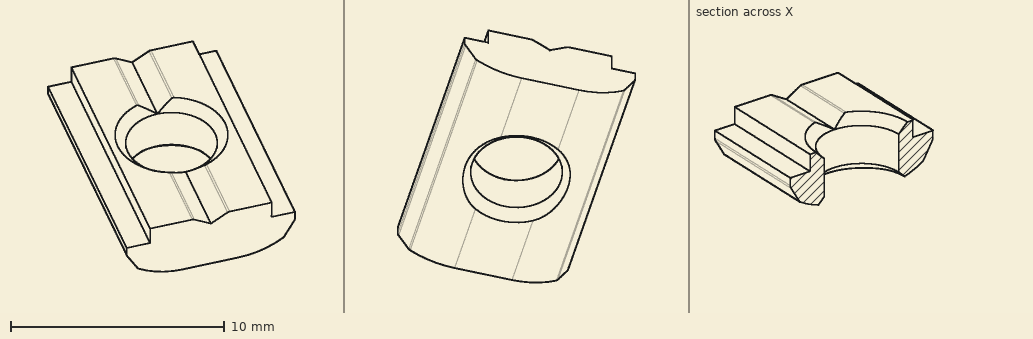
import cadquery as cq
import math

length = 12.0
width = 8.3
height = 3.0

rail_width = 6.0
shelf_z = 2.1

flank_corner_z = 1.62
flank_slope = math.radians(60)
flank_bottom_z = 0.66
underside_radius = 4.0
flank_corner_radius = 0.3
flank_bottom_edge_radius = 0.2

groove_depth = 0.5
groove_angle = math.radians(120)
groove_edge_radius = 0.2

hole_diameter = 4.3
countersink_depth = 0.5

half_width = width / 2
half_rail = rail_width / 2
groove_half_width = groove_depth * math.tan(groove_angle / 2)
flank_bottom_y = half_width - (flank_corner_z - flank_bottom_z) / math.tan(flank_slope)
arc_angle = math.acos(1 - flank_bottom_z / underside_radius)
flat_half_width = flank_bottom_y - underside_radius * math.sin(arc_angle)
arc_mid_y = flat_half_width + underside_radius * math.sin(arc_angle / 2)
arc_mid_z = underside_radius * (1 - math.cos(arc_angle / 2))


def make_body():
    """Extrude the symmetric cross-section along X."""
    return (
        cq.Workplane("YZ")
        .moveTo(-flat_half_width, 0)
        .lineTo(flat_half_width, 0)
        .threePointArc((arc_mid_y, arc_mid_z), (flank_bottom_y, flank_bottom_z))
        .lineTo(half_width, flank_corner_z)
        .lineTo(half_width, shelf_z)
        .lineTo(half_rail, shelf_z)
        .lineTo(half_rail, height)
        .lineTo(groove_half_width, height)
        .lineTo(0, height - groove_depth)
        .lineTo(-groove_half_width, height)
        .lineTo(-half_rail, height)
        .lineTo(-half_rail, shelf_z)
        .lineTo(-half_width, shelf_z)
        .lineTo(-half_width, flank_corner_z)
        .lineTo(-flank_bottom_y, flank_bottom_z)
        .threePointArc((-arc_mid_y, arc_mid_z), (-flat_half_width, 0))
        .close()
        .extrude(length / 2, both=True)
    )


def round_long_edges(body, y, z, radius):
    """Fillet the pair of lengthwise edges at +y and -y, height z."""
    for side in (-1, 1):
        nearest = cq.selectors.NearestToPointSelector((0, side * y, z))
        body = body.edges(nearest).fillet(radius)
    return body


def make_countersink(mouth_z, inward):
    """Return a 45 degree cone with its wide mouth at mouth_z, narrowing to the hole along inward."""
    hole_radius = hole_diameter / 2
    mouth = cq.Vector(0, 0, mouth_z)
    mouth_radius = hole_radius + countersink_depth
    cone = cq.Solid.makeCone(mouth_radius, hole_radius, countersink_depth, pnt=mouth, dir=inward)
    return cq.Workplane(cone)


def cut_hole(body):
    """Cut the vertical through hole and the countersink at each end."""
    hole = cq.Workplane("XY").circle(hole_diameter / 2).extrude(height)
    top_countersink = make_countersink(height, cq.Vector(0, 0, -1))
    bottom_countersink = make_countersink(0, cq.Vector(0, 0, 1))
    return body.cut(hole).cut(top_countersink).cut(bottom_countersink)


body = make_body()
body = round_long_edges(body, half_width, flank_corner_z, flank_corner_radius)
body = round_long_edges(body, flank_bottom_y, flank_bottom_z, flank_bottom_edge_radius)
body = round_long_edges(body, groove_half_width, height, groove_edge_radius)
result = cut_hole(body)